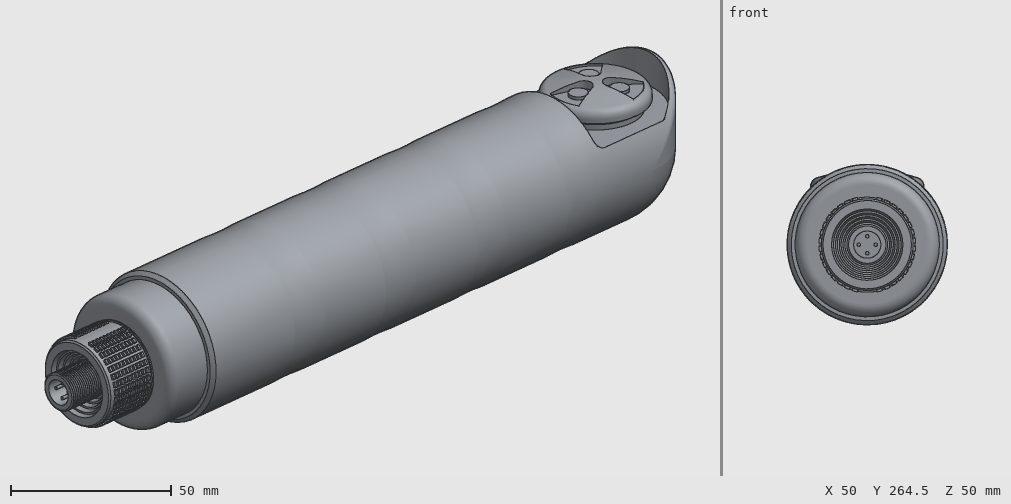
import cadquery as cq
import math

LENGTH = 264.5
BODY_DIAMETER = 50.0
BODY_RADIUS = BODY_DIAMETER / 2
BODY_LENGTH = 221.0
BODY_END_CHAMFER = 1.3

WAIST_COUNT = 4
WAIST_START = 49.0
WAIST_WIDTH = 13.5
WAIST_PITCH = 40.7
WAIST_DEPTH = 0.3

CAP_RADIUS = 22.5
CAP_END = 237.3
CAP_FILLET = 3.7

COLLAR_RADIUS = 14.3
COLLAR_END = 256.3
COLLAR_CHAMFER = 0.5
COLLAR_BASE_RADIUS = 14.8
COLLAR_BASE_LENGTH = 0.5
COLLAR_MOUTH_RADIUS = 11.0
COLLAR_MOUTH_DEPTH = 6.3
COLLAR_MOUTH_STEPS = 4
KNURL_RADIUS = 15.0
KNURL_START = 239.0
KNURL_ROWS = 10
KNURL_PITCH = 1.5
KNURL_STEP_ANGLE = 10
KNURL_TOOTH_ANGLE = 6.5
KNURL_PLAIN_ANGLE = 10
KNURL_ROOT_DEPTH = 0.5

THREAD_RADIUS = 6.3
THREAD_PITCH = 0.8
THREAD_DEPTH = 0.5
SOCKET_RADIUS = 4.2
SOCKET_DEPTH = 8.0
PIN_COUNT = 4
PIN_RADIUS = 0.5
PIN_CIRCLE_RADIUS = 2.6
PIN_LENGTH = 6.3

POCKET_FLOOR = 13.2
RIM_THICKNESS = 2.0
RIM_FILLET = 1.9
POCKET_END = 45.8
POCKET_FILLET = 3.2

STEM_RADIUS = 15.3
HEAD_RADIUS = 17.7
HEAD_BOTTOM = 15.0
HEAD_SIDE_BOTTOM = 16.7
HEAD_SIDE_TOP = 18.0
CROWN_RADIUS = 15.5
CROWN_EDGE = 21.0
CROWN_TOP = 23.3

WINDOW_COUNT = 3
WINDOW_TIP_RADIUS = 3.2
WINDOW_TIP_CENTRE = 5.5
WINDOW_OUTER_RADIUS = 15.0
WINDOW_HALF_ANGLE = 19
WINDOW_FLOOR = 20.4
LENS_RADIUS = 3.2
LENS_CENTRE = 7.7
LENS_HEIGHT = 1.0


def along(distance):
    """Y coordinate at a distance from the rounded tip."""
    return BODY_RADIUS - distance


def polar(radius, angle):
    """Point in a plane at an angle in degrees."""
    return (radius * math.cos(math.radians(angle)), radius * math.sin(math.radians(angle)))


def plug_rod(radius, start, end):
    """Cylinder on the handle axis between two distances from the tip."""
    plane = cq.Workplane("XZ", origin=(0, along(start), 0))
    return plane.circle(radius).extrude(end - start)


def make_body():
    """Main cylinder with concave waists and a chamfered end."""
    profile = cq.Workplane("XY").moveTo(0, 0).lineTo(BODY_RADIUS, 0)
    for index in range(WAIST_COUNT):
        start = WAIST_START + index * WAIST_PITCH
        middle = (BODY_RADIUS - WAIST_DEPTH, along(start + WAIST_WIDTH / 2))
        profile = profile.lineTo(BODY_RADIUS, along(start))
        profile = profile.threePointArc(middle, (BODY_RADIUS, along(start + WAIST_WIDTH)))
    profile = profile.lineTo(BODY_RADIUS, along(BODY_LENGTH - BODY_END_CHAMFER))
    profile = profile.lineTo(BODY_RADIUS - BODY_END_CHAMFER, along(BODY_LENGTH))
    profile = profile.lineTo(0, along(BODY_LENGTH)).close()
    return profile.revolve(360, (0, 0, 0), (0, 1, 0))


def make_rounded_end():
    """Lower half is a ball; upper half is the crossing of an upright and a lying cylinder."""
    ball = cq.Workplane("XY").sphere(BODY_RADIUS)
    upright = cq.Workplane("XY").circle(BODY_RADIUS).extrude(BODY_RADIUS)
    lying = cq.Workplane("XZ").circle(BODY_RADIUS).extrude(-BODY_RADIUS)
    return ball.union(upright.intersect(lying))


def make_pocket():
    """Space above the pocket floor, leaving a curved rim at the tip."""
    inner_radius = BODY_RADIUS - RIM_THICKNESS
    straight_length = POCKET_END - BODY_RADIUS
    outline = (
        cq.Workplane("XY", origin=(0, 0, POCKET_FLOOR))
        .moveTo(inner_radius, 0)
        .threePointArc((0, inner_radius), (-inner_radius, 0))
        .lineTo(-inner_radius, -straight_length)
        .lineTo(inner_radius, -straight_length)
        .close()
    )
    pocket = outline.extrude(BODY_RADIUS)
    return pocket.faces("<Y").edges("<Z").fillet(POCKET_FILLET)


def make_window():
    """Upright wedge with a round tip near the button axis, opening towards -Y."""
    tangent_x, tangent_y = polar(WINDOW_TIP_RADIUS, WINDOW_HALF_ANGLE)
    tangent_y -= WINDOW_TIP_CENTRE
    side_x, side_y = polar(WINDOW_OUTER_RADIUS, WINDOW_HALF_ANGLE - 90)
    far_x = tangent_x + side_x
    far_y = tangent_y + side_y
    wedge = (
        cq.Workplane("XY", origin=(0, 0, WINDOW_FLOOR))
        .moveTo(far_x, far_y)
        .lineTo(tangent_x, tangent_y)
        .threePointArc((0, WINDOW_TIP_RADIUS - WINDOW_TIP_CENTRE), (-tangent_x, tangent_y))
        .lineTo(-far_x, far_y)
        .close()
        .extrude(BODY_RADIUS)
    )
    limit = cq.Workplane("XY").circle(WINDOW_OUTER_RADIUS).extrude(WINDOW_FLOOR + BODY_RADIUS)
    lens = (
        cq.Workplane("XY", origin=(0, -LENS_CENTRE, WINDOW_FLOOR))
        .circle(LENS_RADIUS)
        .extrude(LENS_HEIGHT)
    )
    return wedge.intersect(limit).cut(lens)


def make_button():
    """Mushroom button with a domed crown and three windows."""
    crown_rise = CROWN_TOP - CROWN_EDGE
    sphere_radius = (CROWN_RADIUS**2 + crown_rise**2) / (2 * crown_rise)
    middle_radius = CROWN_RADIUS / 2
    middle_height = CROWN_TOP - sphere_radius + math.sqrt(sphere_radius**2 - middle_radius**2)
    button = (
        cq.Workplane("XZ")
        .moveTo(0, 0)
        .lineTo(STEM_RADIUS, 0)
        .lineTo(STEM_RADIUS, HEAD_BOTTOM)
        .lineTo(HEAD_RADIUS, HEAD_SIDE_BOTTOM)
        .lineTo(HEAD_RADIUS, HEAD_SIDE_TOP)
        .tangentArcPoint((CROWN_RADIUS, CROWN_EDGE), relative=False)
        .threePointArc((middle_radius, middle_height), (0, CROWN_TOP))
        .close()
        .revolve(360, (0, 0, 0), (0, 1, 0))
    )
    window = make_window()
    for index in range(WINDOW_COUNT):
        button = button.cut(window.rotate((0, 0, 0), (0, 0, 1), index * 360 / WINDOW_COUNT))
    return button


def make_knurl_row(start):
    """Toothed ring, rooted inside the collar, with plain bands at the top and bottom."""
    root_radius = COLLAR_RADIUS - KNURL_ROOT_DEPTH
    half_tooth = KNURL_TOOTH_ANGLE / 2
    outline = cq.Workplane("XZ", origin=(0, along(start), 0)).moveTo(*polar(root_radius, 0))
    for index in range(360 // KNURL_STEP_ANGLE):
        angle = (index + 0.5) * KNURL_STEP_ANGLE
        from_vertical = abs(angle % 180 - 90)
        if from_vertical > KNURL_PLAIN_ANGLE:
            outline = outline.lineTo(*polar(root_radius, angle - half_tooth))
            outline = outline.lineTo(*polar(KNURL_RADIUS, angle - half_tooth))
            outline = outline.lineTo(*polar(KNURL_RADIUS, angle + half_tooth))
            outline = outline.lineTo(*polar(root_radius, angle + half_tooth))
    return outline.close().extrude(KNURL_PITCH / 2)


def make_collar_mouth():
    """Funnel that narrows towards the connector in tapered steps with flat ledges."""
    step_depth = COLLAR_MOUTH_DEPTH / COLLAR_MOUTH_STEPS
    step_width = (COLLAR_MOUTH_RADIUS - THREAD_RADIUS) / COLLAR_MOUTH_STEPS
    profile = cq.Workplane("XY").moveTo(0, along(COLLAR_END)).lineTo(COLLAR_MOUTH_RADIUS, along(COLLAR_END))
    for step in range(COLLAR_MOUTH_STEPS):
        outer_radius = COLLAR_MOUTH_RADIUS - step * step_width
        depth = (step + 1) * step_depth
        profile = profile.lineTo(outer_radius - step_width / 2, along(COLLAR_END - depth))
        profile = profile.lineTo(outer_radius - step_width, along(COLLAR_END - depth))
    profile = profile.lineTo(0, along(COLLAR_END - COLLAR_MOUTH_DEPTH)).close()
    return profile.revolve(360, (0, 0, 0), (0, 1, 0))


def make_collar():
    """Knurled collar with a conical mouth around the connector."""
    collar = plug_rod(COLLAR_RADIUS, CAP_END, COLLAR_END).faces("<Y").edges().chamfer(COLLAR_CHAMFER)
    collar = collar.union(plug_rod(COLLAR_BASE_RADIUS, CAP_END, CAP_END + COLLAR_BASE_LENGTH))
    for row in range(KNURL_ROWS):
        collar = collar.union(make_knurl_row(KNURL_START + row * KNURL_PITCH))
    return collar.cut(make_collar_mouth())


def make_connector():
    """Threaded nose with ring-shaped thread grooves, a socket and pins."""
    root_radius = THREAD_RADIUS - THREAD_DEPTH
    thread_start = COLLAR_END - COLLAR_MOUTH_DEPTH
    turns = int((LENGTH - thread_start) / THREAD_PITCH)
    profile = cq.Workplane("XY").moveTo(0, along(CAP_END)).lineTo(root_radius, along(CAP_END))
    for turn in range(turns, 0, -1):
        groove = LENGTH - turn * THREAD_PITCH
        profile = profile.lineTo(root_radius, along(groove))
        profile = profile.lineTo(THREAD_RADIUS, along(groove + THREAD_PITCH / 2))
    profile = profile.lineTo(root_radius, along(LENGTH)).lineTo(0, along(LENGTH)).close()
    connector = profile.revolve(360, (0, 0, 0), (0, 1, 0))
    socket_floor = LENGTH - SOCKET_DEPTH
    connector = connector.cut(plug_rod(SOCKET_RADIUS, socket_floor, LENGTH))
    pin = plug_rod(PIN_RADIUS, socket_floor - PIN_RADIUS, socket_floor + PIN_LENGTH)
    for index in range(PIN_COUNT):
        x, z = polar(PIN_CIRCLE_RADIUS, index * 360 / PIN_COUNT)
        connector = connector.union(pin.translate((x, 0, z)))
    return connector


def make_handle():
    """Body with its rounded end, the button pocket and a softened rim at the tip."""
    handle = make_body().union(make_rounded_end()).cut(make_pocket())
    upper_end = cq.selectors.BoxSelector(
        (-BODY_RADIUS, RIM_THICKNESS, RIM_THICKNESS),
        (BODY_RADIUS, BODY_RADIUS, BODY_RADIUS),
    )
    return handle.edges(upper_end).edges("%ELLIPSE").fillet(RIM_FILLET)


def make_cap():
    """Plain end cap with a rounded edge."""
    return plug_rod(CAP_RADIUS, BODY_LENGTH, CAP_END).faces("<Y").edges().fillet(CAP_FILLET)


result = make_handle().union(make_button()).union(make_cap()).union(make_collar()).union(make_connector())